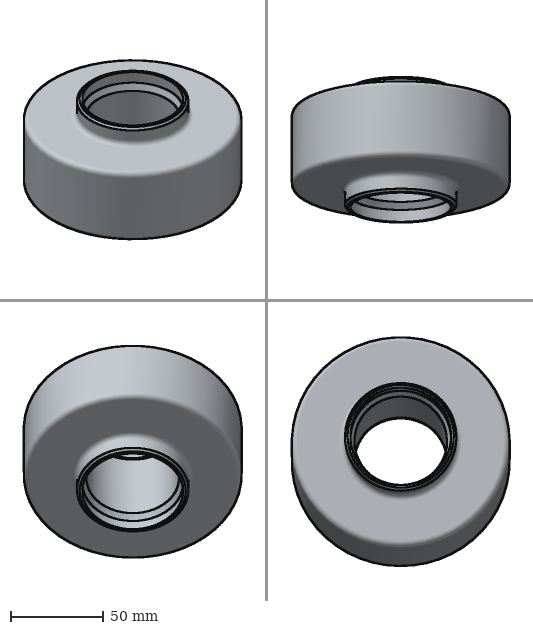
import cadquery as cq
import math

wheel_diameter = 118.0
wheel_width = 43.2
rim_fillet = 3.0

hub_diameter = 60.3
hub_length = 65.0
hub_root_fillet = 3.0
hub_chamfer = 1.4

bore_diameter = 50.0
seat_diameter = 54.5
seat_depth = 6.7
taper_angle = 30.0
taper_length = (seat_diameter - bore_diameter) / 2 / math.tan(math.radians(taper_angle))


def centered_cylinder(diameter, length):
    """Cylinder along Z, centered on the origin."""
    return cq.Workplane("XY").circle(diameter / 2).extrude(length).translate((0, 0, -length / 2))


def hub_root_edges(body):
    """Circles where the hub meets the two wheel faces."""
    hub_radius = hub_diameter / 2
    tolerance = 0.01
    return body.edges("%CIRCLE").filter(
        lambda edge: abs(edge.radius() - hub_radius) < tolerance
        and abs(abs(edge.Center().z) - wheel_width / 2) < tolerance
    )


wheel = centered_cylinder(wheel_diameter, wheel_width).edges("%CIRCLE").fillet(rim_fillet)

hub = centered_cylinder(hub_diameter, hub_length).edges("%CIRCLE").chamfer(hub_chamfer)
body = wheel.union(hub)
body = hub_root_edges(body).fillet(hub_root_fillet)

body = body.cut(centered_cylinder(bore_diameter, hub_length))

seat_floor = hub_length / 2 - seat_depth
top_seat = (
    cq.Workplane("XZ")
    .moveTo(0, hub_length / 2)
    .lineTo(seat_diameter / 2, hub_length / 2)
    .lineTo(seat_diameter / 2, seat_floor)
    .lineTo(bore_diameter / 2, seat_floor - taper_length)
    .lineTo(0, seat_floor - taper_length)
    .close()
    .revolve(360, (0, 0, 0), (0, 1, 0))
)
body = body.cut(top_seat).cut(top_seat.mirror("XY"))

result = body